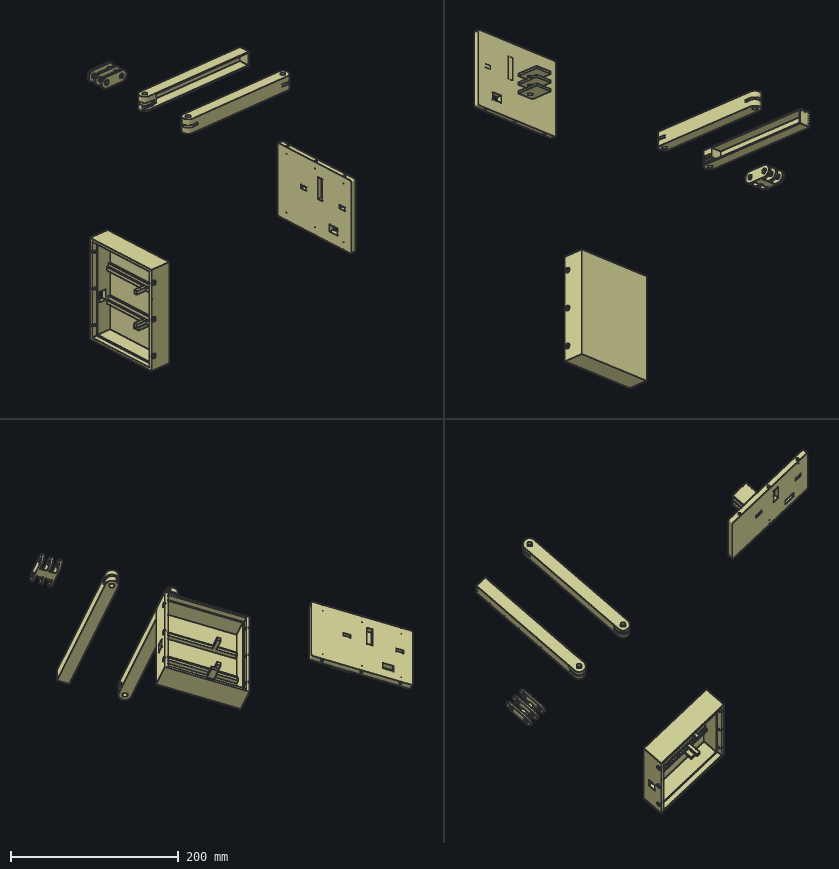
import cadquery as cq
hinge_y = -25.0
knuckle_radius = 8.0
pin_diameter = 6.0
leaf_thickness = 3.0
leaf_gap = 8.5
leaf_pitch = leaf_thickness + leaf_gap

arm_width = 2 * knuckle_radius
arm_bottom = 101.0
arm_height = 19.8
arm_mid_z = arm_bottom + arm_height / 2
arm_top = arm_bottom + arm_height
arm_front = hinge_y - knuckle_radius
arm_back = 137.0
arm_wall = 1.5
slot_back = hinge_y + knuckle_radius
housing_arm_x = -143.0
double_arm_x = -67.5
cavity_front = -13.5
wire_groove = 4.5
wire_duct = 3.5
wire_duct_bottom = 115.5

link_left = -235.5
link_leaf_count = 3
link_hole_spacing = 24.0
link_mid_z = arm_bottom + knuckle_radius
web_base = 12.5
web_height = 3.0
web_crest = web_base - 2 * web_height

plate_right = 235.5
plate_width = 130.0
plate_height = 99.8
plate_top = 161.0
plate_thickness = 7.0
plate_corner = 3.0
plate_mid_x = plate_right - plate_width / 2
plate_mid_z = plate_top - plate_height / 2
plate_back = arm_front
plate_front = plate_back - plate_thickness
pocket_depth = 5.5
earth_pocket = (180.0, 127.5, 7.5, 29.5)
live_pocket = (219.0, 117.5, 9.5, 4.5)
neutral_pocket = (151.0, 117.5, 9.5, 4.5)
switch_window = (203.7, 81.5, 14.0, 9.5)
wire_hole_diameter = 3.4
bracket_width = 23.5
bracket_left = 145.0
bracket_back = -2.0
bracket_hole_x = 156.5

screw_pitch = 50.0
screw_offsets = (-screw_pitch, 0, screw_pitch)
thread_diameter = 3.0
thread_depth = 10.0
clearance_diameter = 3.4
screw_head_diameter = 6.0
screw_head_depth = 1.5
plate_screw_y = -37.0

case_left = -118.5
case_width = 108.0
case_bottom = -161.0
case_height = 138.0
case_front = -137.0
case_depth = 29.0
case_side_wall = 4.0
case_end_wall = 3.8
case_back_wall = 2.0
ledge_width = 2.0
ledge_depth = 7.0
case_screw_y = case_front + 4.0
case_mid_x = case_left + case_width / 2
case_mid_z = case_bottom + case_height / 2
floor_y = case_front + case_depth - case_back_wall
opening_width = case_width - 2 * case_side_wall
opening_height = case_height - 2 * case_end_wall
cavity_width = opening_width - 2 * ledge_width
cavity_height = opening_height - 2 * ledge_width
cavity_left = case_mid_x - cavity_width / 2
window_y = (-126.5, -116.5)
window_z = (-112.5, -98.5)

rail_depth = 3.0
rail_foot_depth = 5.0
rail_foot_height = 4.5
upper_rail_top = -64.5
upper_rail_height = 9.0
upper_rail_end_gap = 1.5
lower_rail_top = -108.5
lower_rail_height = 10.0
peg_x = -49.0
peg_size = 4.5
peg_length = 19.8
block_x = -54.5
block_width = 9.0
block_height = 4.0
block_top = -120.0
block_length = 15.5


def box(x0, x1, y0, y1, z0, z1):
    """Axis-aligned block given by its two limits along each axis."""
    return cq.Workplane("XY").box(x1 - x0, y1 - y0, z1 - z0, centered=False).translate((x0, y0, z0))


def pin_hole(x, y, z0, z1):
    """Vertical cutter for a hinge pin."""
    return cq.Workplane("XY", origin=(x, y, z0)).circle(pin_diameter / 2).extrude(z1 - z0)


def knuckle_end(x, y):
    """Full-height round end of an arm."""
    return cq.Workplane("XY", origin=(x, y, arm_bottom)).circle(knuckle_radius).extrude(arm_height)


def leaf_slot(x, y0, y1):
    """Cutter for the slot that takes a hinge leaf."""
    half = leaf_thickness / 2
    return box(x - knuckle_radius, x + knuckle_radius, y0, y1, arm_mid_z - half, arm_mid_z + half)


def make_housing_arm():
    """Hollow arm with a square far end, open on its +X side."""
    left = housing_arm_x - arm_width / 2
    right = housing_arm_x + arm_width / 2
    floor_z = arm_bottom + arm_wall
    arm = box(left, right, hinge_y, arm_back, arm_bottom, arm_top)
    arm = arm.union(knuckle_end(housing_arm_x, hinge_y))
    arm = arm.cut(leaf_slot(housing_arm_x, arm_front, slot_back))
    arm = arm.cut(pin_hole(housing_arm_x, hinge_y, arm_bottom, arm_top))
    arm = arm.cut(box(left + arm_wall, right, cavity_front, arm_back - arm_wall, floor_z, arm_top - arm_wall))
    groove_left = right - wire_groove
    return arm.cut(box(groove_left, right, arm_front, cavity_front, floor_z, floor_z + wire_groove))


def make_double_arm():
    """Arm with a slotted round knuckle at both ends."""
    left = double_arm_x - arm_width / 2
    right = double_arm_x + arm_width / 2
    far_hinge_y = arm_back - knuckle_radius
    arm = box(left, right, hinge_y, far_hinge_y, arm_bottom, arm_top)
    for y in (hinge_y, far_hinge_y):
        arm = arm.union(knuckle_end(double_arm_x, y))
    for y in (hinge_y, far_hinge_y):
        arm = arm.cut(leaf_slot(double_arm_x, y - knuckle_radius, y + knuckle_radius))
        arm = arm.cut(pin_hole(double_arm_x, y, arm_bottom, arm_top))
    duct_left = left + arm_wall
    duct_top = wire_duct_bottom + wire_duct
    return arm.cut(box(duct_left, duct_left + wire_duct, arm_front, hinge_y, wire_duct_bottom, duct_top))


def make_link():
    """Three leaves with two pin holes each, joined by bevelled webs along the bottom."""
    mid_y = hinge_y + link_hole_spacing / 2
    total_width = (link_leaf_count - 1) * leaf_pitch + leaf_thickness
    link = (
        cq.Workplane("YZ", origin=(link_left, mid_y, arm_bottom))
        .moveTo(-web_base / 2, 0)
        .lineTo(web_base / 2, 0)
        .lineTo(web_crest / 2, web_height)
        .lineTo(-web_crest / 2, web_height)
        .close()
        .extrude(total_width)
    )
    for i in range(link_leaf_count):
        leaf = (
            cq.Workplane("YZ", origin=(link_left + i * leaf_pitch, mid_y, link_mid_z))
            .slot2D(link_hole_spacing + 2 * knuckle_radius, 2 * knuckle_radius)
            .extrude(leaf_thickness)
            .faces("<X")
            .workplane(origin=(link_left, mid_y, link_mid_z))
            .pushPoints([(-link_hole_spacing / 2, 0), (link_hole_spacing / 2, 0)])
            .hole(pin_diameter)
        )
        link = link.union(leaf)
    return link


def plate_pocket(opening, depth):
    """Rectangular cutter sunk into the plate front."""
    x, z, width, height = opening
    return box(x - width / 2, x + width / 2, plate_front, plate_front + depth, z - height / 2, z + height / 2)


def make_plate():
    """Rounded plate with pin pockets, a switch window, screw holes and a three-leaf bracket."""
    plate = (
        cq.Workplane("XY")
        .box(plate_width, plate_thickness, plate_height)
        .edges("|Y")
        .fillet(plate_corner)
        .translate((plate_mid_x, plate_front + plate_thickness / 2, plate_mid_z))
    )
    for i in (-1, 0, 1):
        leaf_bottom = arm_mid_z + i * leaf_pitch - leaf_thickness / 2
        leaf_top = leaf_bottom + leaf_thickness
        leaf = box(bracket_left, bracket_left + bracket_width, plate_back, bracket_back, leaf_bottom, leaf_top)
        plate = plate.union(leaf.cut(pin_hole(bracket_hole_x, hinge_y, leaf_bottom, leaf_top)))
    for pocket in (earth_pocket, live_pocket, neutral_pocket):
        plate = plate.cut(plate_pocket(pocket, pocket_depth))
    plate = plate.cut(plate_pocket(switch_window, plate_thickness))
    wire_hole = (
        cq.Workplane("XZ", origin=(neutral_pocket[0], plate_back, neutral_pocket[1]))
        .circle(wire_hole_diameter / 2)
        .extrude(plate_thickness)
    )
    plate = plate.cut(wire_hole)
    for offset in screw_offsets:
        for z in (plate_top - plate_height, plate_top - thread_depth):
            hole = (
                cq.Workplane("XY", origin=(plate_mid_x + offset, plate_screw_y, z))
                .circle(thread_diameter / 2)
                .extrude(thread_depth)
            )
            plate = plate.cut(hole)
    return plate


def case_recess(width, height, depth_start, depth_end):
    """Rectangular cutter centred on the case."""
    return box(
        case_mid_x - width / 2, case_mid_x + width / 2, depth_start, depth_end,
        case_mid_z - height / 2, case_mid_z + height / 2,
    )


def screw_cutter(offset):
    """Clearance hole through both side walls, counterbored on the outside of each."""
    head_radius = screw_head_diameter / 2
    hole_radius = clearance_diameter / 2
    head_depth = screw_head_depth
    far_seat = case_width - screw_head_depth
    return (
        cq.Workplane("XY", origin=(case_left, case_screw_y, case_mid_z + offset))
        .polyline([
            (0, 0), (0, head_radius), (head_depth, head_radius), (head_depth, hole_radius),
            (far_seat, hole_radius), (far_seat, head_radius), (case_width, head_radius), (case_width, 0),
        ])
        .close()
        .revolve(360, (0, 0, 0), (1, 0, 0))
    )


def rail(top, height, right):
    """Rail across the case floor: a shallow upper part over a deeper foot."""
    foot_top = top - height + rail_foot_height
    upper = box(cavity_left, right, floor_y - rail_depth, floor_y, foot_top, top)
    foot = box(cavity_left, right, floor_y - rail_foot_depth, floor_y, top - height, foot_top)
    return upper.union(foot)


def peg(foot_bottom):
    """Square peg standing on the case floor, level with a rail foot."""
    return box(peg_x, peg_x + peg_size, floor_y - peg_length, floor_y, foot_bottom, foot_bottom + peg_size)


def make_case():
    """Open-fronted case with a ledge for the plate, screw holes, a side window, rails and pegs."""
    case = box(
        case_left, case_left + case_width, case_front, case_front + case_depth,
        case_bottom, case_bottom + case_height,
    )
    case = case.cut(case_recess(opening_width, opening_height, case_front, case_front + ledge_depth))
    case = case.cut(case_recess(cavity_width, cavity_height, case_front, floor_y))
    for offset in screw_offsets:
        case = case.cut(screw_cutter(offset))
    case = case.cut(box(case_left, cavity_left, *window_y, *window_z))
    cavity_right = cavity_left + cavity_width
    case = case.union(rail(upper_rail_top, upper_rail_height, cavity_right - upper_rail_end_gap))
    case = case.union(rail(lower_rail_top, lower_rail_height, cavity_right))
    case = case.union(peg(upper_rail_top - upper_rail_height))
    case = case.union(peg(lower_rail_top - lower_rail_height))
    block = box(
        block_x, block_x + block_width, floor_y - block_length, floor_y,
        block_top - block_height, block_top,
    )
    return case.union(block)


link = make_link()
housing_arm = make_housing_arm()
double_arm = make_double_arm()
plate = make_plate()
case = make_case()

result = cq.Compound.makeCompound([
    link.val(), housing_arm.val(), double_arm.val(), plate.val(), case.val(),
])